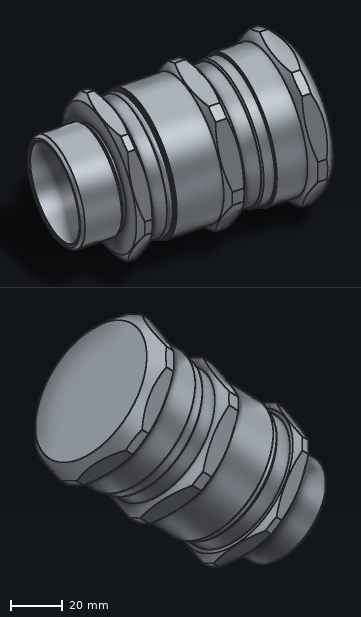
import cadquery as cq
import math

TOTAL_LENGTH = 107.02

THREAD_DIA = 47.8
THREAD_RELIEF_DIA = 45.4
THREAD_END_CHAMFER = 1.4
RELIEF_TAPER_START = 17.5
RELIEF_TAPER = (THREAD_DIA - THREAD_RELIEF_DIA) / 2
BORE_DIA = 42.2
BORE_DEPTH = 17.0
BORE_CHAMFER = 0.5

ENTRY_HEX_START = 20.0
ENTRY_HEX_END = 27.2
MIDDLE_HEX_START = 58.5
MIDDLE_HEX_END = 68.55
CAP_HEX_START = 95.0

HEX_SIDES = 6
HALF_CORNER_ANGLE = 180 / HEX_SIDES

BODY_HEX_FLATS = 64.0
BODY_HEX_CORNER_CUT = 2.0
CAP_HEX_FLATS = 68.0
CAP_HEX_CORNER_CUT = 3.0
HEX_CHAMFER_ANGLE = 30.0
CAP_CHAMFER_ANGLE = 45.0
ENTRY_HEX_FACE_DIA = 63.4
CAP_END_DIA = 62.0

BODY_DIA = 60.0
SLEEVE_DIA = 63.0
SLEEVE_START = 37.5
CAP_SKIRT_DIA = 64.4
CAP_SKIRT_START = 81.2
COLLAR_DIA = 62.0
COLLAR_START = 75.7
COLLAR_CHAMFER = 0.7
EDGE_CHAMFER = 0.4

SEAL_DIA = 61.2
SEAL_THICKNESS = 2.6
SEAL_POSITION = 35.75
SEAL_GROOVE_WIDTH = 2.8
SEAL_GROOVE_DIA = SEAL_DIA - SEAL_THICKNESS


def revolve_profile(points):
    """Revolve a closed (radius, y) outline about the Y axis."""
    return cq.Workplane("XY").polyline(points).close().revolve(360, (0, 0, 0), (0, 1, 0))


def cylinder(diameter, start, end, start_chamfer=0.0):
    """Solid round section along Y with an optional 45 degree chamfer at its start."""
    radius = diameter / 2
    points = [(0, start), (radius - start_chamfer, start)]
    if start_chamfer > 0:
        points.append((radius, start + start_chamfer))
    points += [(radius, end), (0, end)]
    return revolve_profile(points)


def corner_diameter(across_flats):
    """Diameter over the corners of a regular hexagon."""
    return across_flats / math.cos(math.radians(HALF_CORNER_ANGLE))


def hex_prism(across_flats, corner_cut, start, end):
    """Hexagonal prism with flats facing +Z and -Z and its six corners cut square."""
    corner_dia = corner_diameter(across_flats)
    plane = cq.Workplane("XZ", origin=(0, start, 0))
    prism = plane.polygon(HEX_SIDES, corner_dia).extrude(start - end)
    cut_dia = corner_diameter(corner_dia - 2 * corner_cut)
    corner_cutter = plane.polygon(HEX_SIDES, cut_dia).extrude(start - end)
    return prism.intersect(corner_cutter.rotate((0, 0, 0), (0, 1, 0), HALF_CORNER_ANGLE))


def chamfered_hex(across_flats, corner_cut, start, end, start_dia, end_dia, end_angle):
    """Cut-corner hexagon whose two ends are turned to cones of the given face diameters."""
    outer_radius = corner_diameter(across_flats) / 2
    start_rise = (outer_radius - start_dia / 2) * math.tan(math.radians(HEX_CHAMFER_ANGLE))
    end_rise = (outer_radius - end_dia / 2) * math.tan(math.radians(end_angle))
    cones = revolve_profile(
        [
            (0, start),
            (start_dia / 2, start),
            (outer_radius, start + start_rise),
            (outer_radius, end - end_rise),
            (end_dia / 2, end),
            (0, end),
        ]
    )
    return hex_prism(across_flats, corner_cut, start, end).intersect(cones)


def entry_spigot():
    """Thread envelope with a chamfered end and a tapered run-out into the relief neck."""
    thread_radius = THREAD_DIA / 2
    neck_radius = THREAD_RELIEF_DIA / 2
    return revolve_profile(
        [
            (0, 0),
            (thread_radius - THREAD_END_CHAMFER, 0),
            (thread_radius, THREAD_END_CHAMFER),
            (thread_radius, RELIEF_TAPER_START),
            (neck_radius, RELIEF_TAPER_START + RELIEF_TAPER),
            (neck_radius, ENTRY_HEX_START),
            (0, ENTRY_HEX_START),
        ]
    )


def entry_bore():
    """Blind bore with a chamfered mouth."""
    radius = BORE_DIA / 2
    return revolve_profile(
        [
            (0, 0),
            (radius + BORE_CHAMFER, 0),
            (radius, BORE_CHAMFER),
            (radius, BORE_DEPTH),
            (0, BORE_DEPTH),
        ]
    )


def seal_groove():
    """Annular groove centred on the sealing ring, slightly wider than the ring."""
    start = SEAL_POSITION - SEAL_GROOVE_WIDTH / 2
    end = SEAL_POSITION + SEAL_GROOVE_WIDTH / 2
    return cylinder(BODY_DIA, start, end).cut(cylinder(SEAL_GROOVE_DIA, start, end))


def seal_ring():
    """Round-section ring, partly sunk into the groove floor."""
    section_radius = SEAL_THICKNESS / 2
    section_centre = SEAL_DIA / 2 - section_radius
    half_section = (
        cq.Workplane("XY")
        .moveTo(section_centre, SEAL_POSITION - section_radius)
        .threePointArc(
            (SEAL_DIA / 2, SEAL_POSITION),
            (section_centre, SEAL_POSITION + section_radius),
        )
        .close()
    )
    return half_section.revolve(360, (0, 0, 0), (0, 1, 0))


entry_hex = chamfered_hex(
    BODY_HEX_FLATS, BODY_HEX_CORNER_CUT, ENTRY_HEX_START, ENTRY_HEX_END,
    ENTRY_HEX_FACE_DIA, ENTRY_HEX_FACE_DIA, HEX_CHAMFER_ANGLE,
)
middle_hex = chamfered_hex(
    BODY_HEX_FLATS, BODY_HEX_CORNER_CUT, MIDDLE_HEX_START, MIDDLE_HEX_END,
    SLEEVE_DIA, BODY_DIA, HEX_CHAMFER_ANGLE,
)
cap_hex = chamfered_hex(
    CAP_HEX_FLATS, CAP_HEX_CORNER_CUT, CAP_HEX_START, TOTAL_LENGTH,
    CAP_SKIRT_DIA, CAP_END_DIA, CAP_CHAMFER_ANGLE,
)

result = (
    entry_spigot()
    .union(entry_hex)
    .union(cylinder(BODY_DIA, ENTRY_HEX_END, CAP_SKIRT_START))
    .cut(seal_groove())
    .union(seal_ring())
    .union(cylinder(SLEEVE_DIA, SLEEVE_START, MIDDLE_HEX_START, EDGE_CHAMFER))
    .union(middle_hex)
    .union(cylinder(COLLAR_DIA, COLLAR_START, CAP_SKIRT_START, COLLAR_CHAMFER))
    .union(cylinder(CAP_SKIRT_DIA, CAP_SKIRT_START, CAP_HEX_START, EDGE_CHAMFER))
    .union(cap_hex)
    .cut(entry_bore())
)